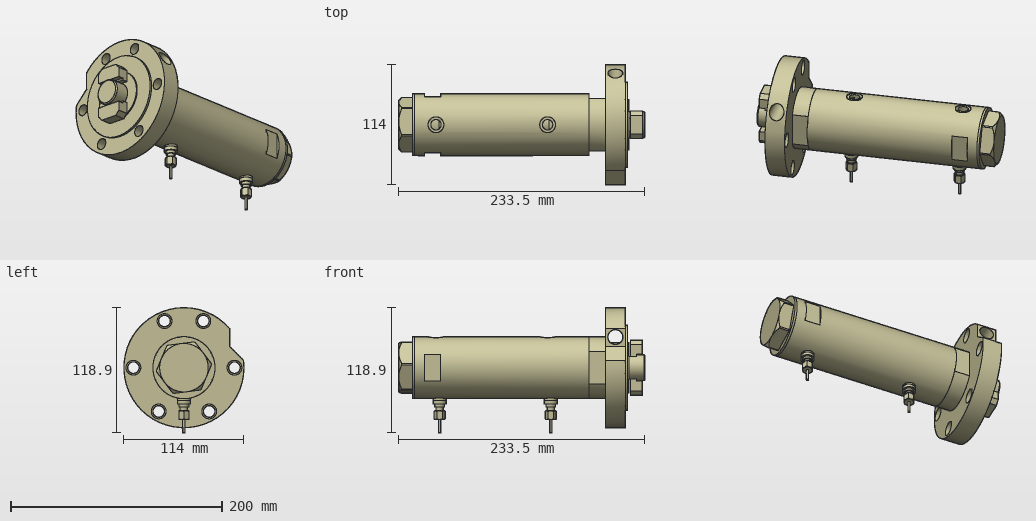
import cadquery as cq
import math


rod_end_x = 233.5
cap_rim_x = 12.8
tube_start_x = 15.0
tube_end_x = 180.2
flange_start_x = 195.5
flange_end_x = 214.7
spigot_end_x = 216.8
gland_end_x = 218.0
cap_plug_end_x = 38.0
gland_start_x = 142.2

barrel_radius = 29.5
bore_radius = 21.5
rod_radius = 12.4

hex_across_flats = 46.0
hex_corner_radius = 26.1
hex_chamfer_length = 2.8
hex_chamfer_end_radius = hex_across_flats / 2
hex_turn = 52.7

tube_flat_start_x = 24.5
tube_flat_length = 15.2
tube_flat_offset = 26.5
neck_flat_offset = 25.0

port_xs = (35.2, 141.0)
port_radius = 5.0
spotface_radius = 7.5
sensor_xs = (38.7, 144.0)
seat_offset = math.sqrt(barrel_radius**2 - spotface_radius**2)

flange_radius = 57.0
spigot_radius = 40.4
bolt_circle_radius = 47.9
bolt_angles = (0, 67.4, 112.6, 180, 240, 300)
bolt_hole_radius = 5.4
counterbore_radius = 7.0
counterbore_depth = 6.5
notch_offset = 43.5
notch_bottom_z = 20.0
notch_slope_end_z = 6.5
cross_hole_x = (flange_start_x + flange_end_x) / 2
cross_hole_z = 29.0
cross_hole_radius = 7.0

gland_radius = 23.8
gland_shoulder_radius = 25.7

rod_flat_offset = 10.7
rod_flat_end_x = 225.3
rod_chamfer = 1.2
jaw_start_x = 219.5
jaw_end_x = 230.9
jaw_half_width = 13.0
jaw_reach = 26.1
jaw_chamfer = 4.2
jaw_recess_offset = 12.5

collar_radius = 6.3
boss_bottom = 31.0
collar_bottom = 34.5
shoulder_radius = 4.7
shoulder_bottom = 37.3
stem_radius = 3.5
nut_top = 40.5
nut_bottom = 49.3
nut_across_flats = 9.3
nut_chamfer = 1.0
cable_radius = 1.2
cable_bottom = 61.9


def cylinder_x(radius, start_x, end_x, y=0, z=0):
    """Solid cylinder parallel to X between two stations."""
    return cq.Workplane("YZ", origin=(start_x, y, z)).circle(radius).extrude(end_x - start_x)


def cylinder_down(radius, x, top, bottom):
    """Solid cylinder below the axis, from depth `top` to depth `bottom`."""
    return cq.Workplane("XY", origin=(x, 0, -bottom)).circle(radius).extrude(bottom - top)


def box_between(x_range, y_range, z_range):
    """Box given by its limits along each axis."""
    size = [limits[1] - limits[0] for limits in (x_range, y_range, z_range)]
    corner = (x_range[0], y_range[0], z_range[0])
    return cq.Workplane("XY").box(*size, centered=False).translate(corner)


def cut_side_flats(body, start_x, end_x, offset):
    """Mill a pair of wrench flats at Y = +offset and Y = -offset."""
    reach = 2 * barrel_radius
    for y_range in ((offset, reach), (-reach, -offset)):
        body = body.cut(box_between((start_x, end_x), y_range, (-reach, reach)))
    return body


def make_cap():
    """Hexagonal end cap with a round rim and a plug that closes the bore."""
    hexagon = (
        cq.Workplane("YZ")
        .polygon(6, hex_across_flats / math.cos(math.pi / 6))
        .extrude(cap_rim_x)
        .rotate((0, 0, 0), (1, 0, 0), hex_turn)
    )
    chamfered_bar = (
        cq.Workplane("XY")
        .moveTo(0, 0)
        .lineTo(0, hex_chamfer_end_radius)
        .lineTo(hex_chamfer_length, hex_corner_radius)
        .lineTo(cap_rim_x, hex_corner_radius)
        .lineTo(cap_rim_x, 0)
        .close()
        .revolve(360, (0, 0, 0), (1, 0, 0))
    )
    rim = cylinder_x(barrel_radius, cap_rim_x, tube_start_x)
    plug = cylinder_x(bore_radius, tube_start_x, cap_plug_end_x)
    return hexagon.intersect(chamfered_bar).union(rim).union(plug)


def make_tube():
    """Barrel with its stepped bore, wrench flats, two ports and two sensor bosses."""
    tube = cylinder_x(barrel_radius, tube_start_x, tube_end_x)
    tube = tube.cut(cylinder_x(bore_radius, tube_start_x, gland_start_x))
    tube = tube.cut(cylinder_x(gland_shoulder_radius, gland_start_x, tube_end_x))
    tube = cut_side_flats(tube, tube_flat_start_x, tube_flat_start_x + tube_flat_length, tube_flat_offset)
    for x in port_xs:
        port = cq.Workplane("XY", origin=(x, 0, 0)).circle(port_radius).extrude(barrel_radius)
        spotface = cq.Workplane("XY", origin=(x, 0, seat_offset)).circle(spotface_radius).extrude(barrel_radius)
        tube = tube.cut(port).cut(spotface)
    for x in sensor_xs:
        tube = tube.union(cylinder_down(collar_radius, x, seat_offset, boss_bottom))
    return tube


def cut_flange_notch(head):
    """Cut the -Y edge of the flange back to a flat that runs out on a 45 degree slope."""
    slope_run = notch_bottom_z - notch_slope_end_z
    notch = (
        cq.Workplane("YZ", origin=(flange_start_x, 0, 0))
        .moveTo(-notch_offset, flange_radius)
        .lineTo(-notch_offset, notch_bottom_z)
        .lineTo(-notch_offset - slope_run, notch_slope_end_z)
        .lineTo(-2 * flange_radius, notch_slope_end_z)
        .lineTo(-2 * flange_radius, flange_radius)
        .close()
        .extrude(flange_end_x - flange_start_x)
    )
    return head.cut(notch)


def cut_bolt_holes(head):
    """Drill the counterbored bolt holes around the flange."""
    for angle in bolt_angles:
        y = bolt_circle_radius * math.cos(math.radians(angle))
        z = bolt_circle_radius * math.sin(math.radians(angle))
        head = head.cut(cylinder_x(bolt_hole_radius, flange_start_x, flange_end_x, y, z))
        head = head.cut(
            cylinder_x(counterbore_radius, flange_start_x, flange_start_x + counterbore_depth, y, z)
        )
    return head


def make_head():
    """Rod-end head: neck with wrench flats, bolting flange and spigot."""
    neck = cylinder_x(barrel_radius, tube_end_x, flange_start_x)
    head = cut_side_flats(neck, tube_end_x, flange_start_x, neck_flat_offset)
    head = head.union(cylinder_x(flange_radius, flange_start_x, flange_end_x))
    head = cut_flange_notch(head)
    head = cut_bolt_holes(head)
    head = head.union(cylinder_x(spigot_radius, flange_end_x, spigot_end_x))
    cross_hole = (
        cq.Workplane("XZ", origin=(cross_hole_x, flange_radius, cross_hole_z))
        .circle(cross_hole_radius)
        .extrude(2 * flange_radius)
    )
    head = head.cut(cross_hole)
    return head.cut(cylinder_x(gland_radius, tube_end_x, spigot_end_x))


def make_gland():
    """Stepped guide bush around the rod, from the wide tube bore to just past the spigot."""
    shoulder = cylinder_x(gland_shoulder_radius, gland_start_x, tube_end_x)
    bush = shoulder.union(cylinder_x(gland_radius, tube_end_x, gland_end_x))
    return bush.cut(cylinder_x(rod_radius, gland_start_x, gland_end_x))


def make_rod():
    """Rod with a chamfered end and two flats for the jaws."""
    rod = cylinder_x(rod_radius, cap_plug_end_x, rod_end_x).faces(">X").chamfer(rod_chamfer)
    width = (-rod_radius, rod_radius)
    for z_range in ((rod_flat_offset, rod_radius), (-rod_radius, -rod_flat_offset)):
        rod = rod.cut(box_between((gland_end_x, rod_flat_end_x), width, z_range))
    return rod


def make_jaw(side):
    """Jaw seated on one rod flat; side is +1 above the rod and -1 below it."""
    width = (-jaw_half_width, jaw_half_width)
    jaw = box_between((jaw_start_x, jaw_end_x), width, (rod_flat_offset, jaw_reach))
    jaw = jaw.faces(">Z").edges("|X").chamfer(jaw_chamfer)
    jaw = jaw.cut(box_between((rod_flat_end_x, jaw_end_x), width, (rod_flat_offset, jaw_recess_offset)))
    if side < 0:
        jaw = jaw.mirror("XY")
    return jaw


def make_sensor(x):
    """Position sensor hanging under the tube: collar, shoulder, stem, hexagon nut and cable."""
    nut_diameter = nut_across_flats / math.cos(math.pi / 6)
    nut_height = nut_bottom - nut_top
    nut = cq.Workplane("XY", origin=(x, 0, -nut_bottom)).polygon(6, nut_diameter).extrude(nut_height)
    rounding = cylinder_down(nut_diameter / 2, x, nut_top, nut_bottom).edges().chamfer(nut_chamfer)
    sensor = nut.intersect(rounding)
    sensor = sensor.union(cylinder_down(collar_radius, x, boss_bottom, collar_bottom))
    sensor = sensor.union(cylinder_down(shoulder_radius, x, collar_bottom, shoulder_bottom))
    sensor = sensor.union(cylinder_down(stem_radius, x, shoulder_bottom, nut_top))
    return sensor.union(cylinder_down(cable_radius, x, nut_bottom, cable_bottom))


cap = make_cap()
tube = make_tube()
head = make_head()
gland = make_gland()
rod = make_rod()
jaws = [make_jaw(side) for side in (1, -1)]
sensors = [make_sensor(x) for x in sensor_xs]

result = cq.Compound.makeCompound(
    [cap.val(), tube.val(), head.val(), gland.val(), rod.val()]
    + [jaw.val() for jaw in jaws]
    + [sensor.val() for sensor in sensors]
)